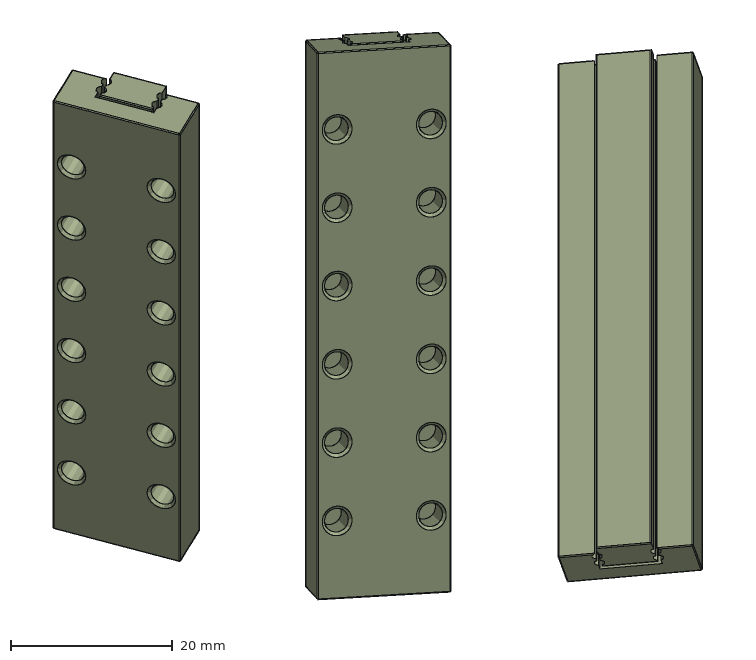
import cadquery as cq

length = 70.0
carriage_width = 17.0
carriage_height = 6.5
total_height = 8.0
edge_chamfer = 0.15

rail_width = 7.0
rail_height = 4.8
side_gap = 0.4
floor_gap = 0.5

track_radius = 0.6
track_depths = (2.1, 3.8)

hole_diameter = 3.0
hole_mouth_diameter = 3.8
hole_depth = 4.2
hole_count_per_column = 6
hole_pitch = 10.0
hole_column_spacing = 12.0

rail_bottom = total_height - rail_height
channel_floor = rail_bottom - floor_gap
channel_width = rail_width + 2 * side_gap
track_offset = (rail_width + side_gap) / 2
first_hole_z = (length - (hole_count_per_column - 1) * hole_pitch) / 2
hole_mouth_depth = (hole_mouth_diameter - hole_diameter) / 2


def make_bar(width, y_low, y_high):
    """Full-length bar centred on x = 0 that spans y_low to y_high."""
    block = cq.Workplane("XY").box(width, y_high - y_low, length, centered=(True, False, False))
    return block.translate((0, y_low, 0))


def make_ball_tracks():
    """Cutter with four full-length rods, two on each flank of the rail."""
    centres = [(side * track_offset, total_height - depth) for side in (-1, 1) for depth in track_depths]
    return cq.Workplane("XY").pushPoints(centres).circle(track_radius).extrude(length)


def make_hole_cutter(x, z):
    """Cutter for one blind hole with a countersunk mouth on the mounting face."""
    hole_radius = hole_diameter / 2
    half_profile = [
        (0, 0),
        (hole_mouth_diameter / 2, 0),
        (hole_radius, hole_mouth_depth),
        (hole_radius, hole_depth),
        (0, hole_depth),
    ]
    cutter = cq.Workplane("XY").polyline(half_profile).close().revolve(360, (0, 0), (0, 1))
    return cutter.translate((x, 0, z))


def make_carriage():
    """Chamfered block with the rail channel, its ball tracks and two columns of mounting holes."""
    body = make_bar(carriage_width, 0, carriage_height).edges().chamfer(edge_chamfer)
    body = body.cut(make_bar(channel_width, channel_floor, total_height))
    body = body.cut(make_ball_tracks())
    for side in (-1, 1):
        for row in range(hole_count_per_column):
            hole_x = side * hole_column_spacing / 2
            hole_z = first_hole_z + row * hole_pitch
            body = body.cut(make_hole_cutter(hole_x, hole_z))
    return body


def make_rail():
    """Bar with ball tracks, chamfered around its outer face and at the ends of its inner face."""
    body = make_bar(rail_width, rail_bottom, total_height)
    body = body.faces(">Y").edges().chamfer(edge_chamfer)
    body = body.faces("<Y").edges("|X").chamfer(edge_chamfer)
    return body.cut(make_ball_tracks())


carriage = make_carriage()
rail = make_rail()
result = cq.Compound.makeCompound([carriage.solids().val(), rail.solids().val()])